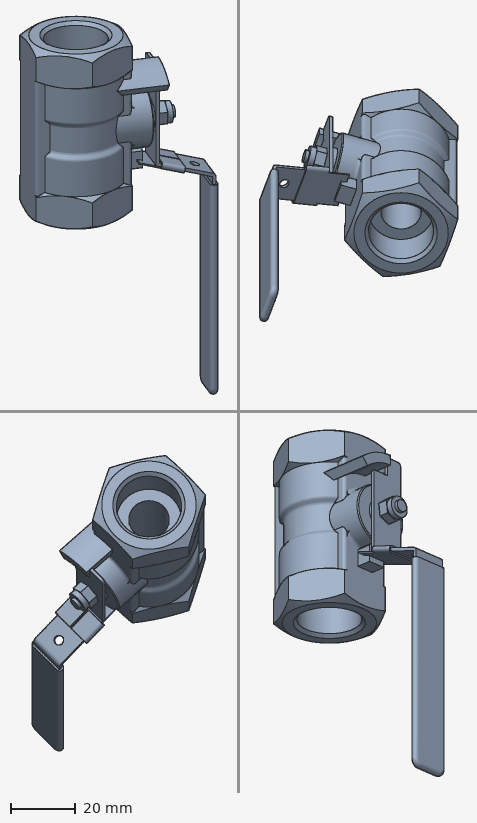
import cadquery as cq
import math


HEX_FLATS = 31.0
HOUSING_LENGTH = 59.0
HEX_END_LENGTH = 11.3
END_FACE_DIA = 29.1
HEX_BEVEL_ANGLE = 30
WAIST_DIA = HEX_FLATS
GROOVE_DIA = 28.3
GROOVE_HALF_WIDTH = 6.1
GROOVE_FLOOR_HALF_WIDTH = 3.6
GROOVE_FILLET = 1.0
FLAT_EDGE_FILLET = 1.1
PORT_DIA = 20.0
PORT_DEPTH = 12.5
PORT_CHAMFER = 1.1
BORE_DIA = 12.5

BONNET_DIA = 20.0
BONNET_TOP = 22.3
BONNET_EDGE_CHAMFER = 0.4
BONNET_ROOT_FILLET = 1.0
STOP_INNER_RADIUS = 15.6
STOP_OUTER_RADIUS = 18.9
STOP_SWEEP = 40
STOP_TOP = 26.5
LOCK_BLOCK_WIDTH = 6.2
LOCK_BLOCK_TOP = 20.5
LOCK_BLOCK_BOTTOM = -16.4
LOCK_BLOCK_CHAMFER = 0.7

LEVER_WIDTH = 11.7
LEVER_THICKNESS = 1.1
PLATE_Y = 24.7
PLATE_TOP = 18.5
PLATE_CORNER_RADIUS = 1.2
PLATE_STEP_Z = 12.5
ARM_START_Z = -14.7
ARM_SLOPE = 18
LEVER_HOLE_DIA = 3.0
LEVER_HOLE_Y = 38.1
BEND_RADIUS = 1.0
GRIP_WIDTH = 13.1
GRIP_THICKNESS = 2.5
GRIP_TOP = -23.7
GRIP_BOTTOM = HOUSING_LENGTH / 2 - 124.5
GRIP_CORNER_RADIUS = 2.7
GRIP_OUTER_Y = 59.6 - HEX_FLATS / 2

LATCH_SHEET = 0.5
LATCH_WIDTH = 14.1
LATCH_START = 1.0
LATCH_END = 8.8
LATCH_SEAM = 0.5
TONGUE_REACH = 6.0

COLLAR_DIA = 10
STEM_DIA = 7.0
TIP_DIA = 4.0
NUT_CORNERS = 8.3
NUT_TURN = 8
NUT_TOP = 28.5
STEM_SHOULDER = 30.4
STEM_TIP = 31.5

HEX_CORNERS = HEX_FLATS / math.cos(math.radians(30))
HALF_LENGTH = HOUSING_LENGTH / 2
WAIST_HALF_LENGTH = HALF_LENGTH - HEX_END_LENGTH
PLATE_INNER_Y = PLATE_Y - LEVER_THICKNESS / 2
PLATE_OUTER_Y = PLATE_Y + LEVER_THICKNESS / 2
GRIP_Y = GRIP_OUTER_Y - GRIP_THICKNESS / 2
ARM_DROP = (GRIP_Y - PLATE_Y) * math.tan(math.radians(ARM_SLOPE))
ARM_END_Z = ARM_START_Z - ARM_DROP


def y_cylinder(diameter, start, end):
    """Cylinder about the stem axis from Y = start to Y = end."""
    return cq.Workplane("XZ", origin=(0, start, 0)).circle(diameter / 2).extrude(start - end)


def hex_end():
    """Upper hexagonal end, bevelled by cones at both of its ends."""
    hexagon = (
        cq.Workplane("XY", origin=(0, 0, WAIST_HALF_LENGTH))
        .polygon(6, HEX_CORNERS)
        .extrude(HEX_END_LENGTH)
    )
    slope = math.tan(math.radians(HEX_BEVEL_ANGLE))
    outer_drop = (HEX_CORNERS - END_FACE_DIA) / 2 * slope
    inner_rise = (HEX_CORNERS - WAIST_DIA) / 2 * slope
    envelope = (
        cq.Workplane("XZ")
        .moveTo(0, WAIST_HALF_LENGTH)
        .lineTo(WAIST_DIA / 2, WAIST_HALF_LENGTH)
        .lineTo(HEX_CORNERS / 2, WAIST_HALF_LENGTH + inner_rise)
        .lineTo(HEX_CORNERS / 2, HALF_LENGTH - outer_drop)
        .lineTo(END_FACE_DIA / 2, HALF_LENGTH)
        .lineTo(0, HALF_LENGTH)
        .close()
        .revolve(360, (0, 0, 0), (0, 1, 0))
    )
    return hexagon.intersect(envelope)


def waist():
    """Round middle with a shallow groove around it."""
    radius = WAIST_DIA / 2
    floor = GROOVE_DIA / 2
    profile = [
        (0, -WAIST_HALF_LENGTH),
        (radius, -WAIST_HALF_LENGTH),
        (radius, -GROOVE_HALF_WIDTH),
        (floor, -GROOVE_FLOOR_HALF_WIDTH - GROOVE_FILLET),
        (floor, GROOVE_FLOOR_HALF_WIDTH + GROOVE_FILLET),
        (radius, GROOVE_HALF_WIDTH),
        (radius, WAIST_HALF_LENGTH),
        (0, WAIST_HALF_LENGTH),
    ]
    round_body = cq.Workplane("XZ").polyline(profile).close().revolve(360, (0, 0, 0), (0, 1, 0))
    groove_zone = cq.selectors.BoxSelector(
        (-radius, -radius, -GROOVE_HALF_WIDTH - 0.1),
        (radius, radius, GROOVE_HALF_WIDTH + 0.1),
    )
    return round_body.edges("%CIRCLE").edges(groove_zone).fillet(GROOVE_FILLET)


def flats_with_bonnet():
    """Slab that joins the hexagon flats, with the bonnet filleted onto its rear face."""
    slab_width = HEX_CORNERS / 2
    slab = (
        cq.Workplane("XY")
        .box(slab_width, HEX_FLATS, 2 * (WAIST_HALF_LENGTH + FLAT_EDGE_FILLET))
        .edges("|Z")
        .fillet(FLAT_EDGE_FILLET)
    )
    bonnet = y_cylinder(BONNET_DIA, 0, BONNET_TOP).faces(">Y").chamfer(BONNET_EDGE_CHAMFER)
    root = HEX_FLATS / 2
    radius = BONNET_DIA / 2
    flare = (
        cq.Workplane("XY")
        .moveTo(0, root)
        .lineTo(radius + BONNET_ROOT_FILLET, root)
        .radiusArc((radius, root + BONNET_ROOT_FILLET), BONNET_ROOT_FILLET)
        .lineTo(0, root + BONNET_ROOT_FILLET)
        .close()
        .revolve(360, (0, 0, 0), (0, 1, 0))
    )
    flat_width = slab_width - 2 * FLAT_EDGE_FILLET
    flare = flare.intersect(cq.Workplane("XY").box(flat_width, 2 * BONNET_TOP, HOUSING_LENGTH))
    return slab.union(bonnet).union(flare)


def lever_stop():
    """Ring sector about the stem axis that limits the swing of the lever."""
    def on_ring(radius, angle):
        turn = math.radians(angle)
        return radius * math.sin(turn), radius * math.cos(turn)

    return (
        cq.Workplane("XZ")
        .moveTo(*on_ring(STOP_INNER_RADIUS, 0))
        .lineTo(*on_ring(STOP_OUTER_RADIUS, 0))
        .threePointArc(on_ring(STOP_OUTER_RADIUS, STOP_SWEEP / 2), on_ring(STOP_OUTER_RADIUS, STOP_SWEEP))
        .lineTo(*on_ring(STOP_INNER_RADIUS, STOP_SWEEP))
        .threePointArc(on_ring(STOP_INNER_RADIUS, STOP_SWEEP / 2), on_ring(STOP_INNER_RADIUS, 0))
        .close()
        .extrude(-STOP_TOP)
    )


def lock_block():
    """Block under the bonnet that the latch straddles."""
    top = -BONNET_DIA / 2
    return (
        cq.Workplane("XZ")
        .center(0, (top + LOCK_BLOCK_BOTTOM) / 2)
        .rect(LOCK_BLOCK_WIDTH, top - LOCK_BLOCK_BOTTOM)
        .extrude(-LOCK_BLOCK_TOP)
        .edges("|Y and >Z")
        .chamfer(LOCK_BLOCK_CHAMFER)
    )


def port():
    """Upper port with a chamfered mouth."""
    mouth = PORT_DIA / 2 + PORT_CHAMFER
    return (
        cq.Workplane("XZ")
        .moveTo(0, HALF_LENGTH)
        .lineTo(mouth, HALF_LENGTH)
        .lineTo(PORT_DIA / 2, HALF_LENGTH - PORT_CHAMFER)
        .lineTo(PORT_DIA / 2, HALF_LENGTH - PORT_DEPTH)
        .lineTo(0, HALF_LENGTH - PORT_DEPTH)
        .close()
        .revolve(360, (0, 0, 0), (0, 1, 0))
    )


def make_housing():
    upper_end = hex_end()
    upper_port = port()
    body = waist().union(flats_with_bonnet())
    body = body.union(upper_end).union(upper_end.mirror("XY"))
    body = body.union(lever_stop()).union(lock_block())
    body = body.cut(upper_port).cut(upper_port.mirror("XY"))
    return body.cut(cq.Workplane("XY").circle(BORE_DIA / 2).extrude(HALF_LENGTH, both=True))


def arm_plane():
    """Plane at the start of the arm: local X along the arm, local Z square to it and upward."""
    slope = math.radians(ARM_SLOPE)
    return cq.Plane(
        origin=(0, PLATE_Y, ARM_START_Z),
        xDir=(0, math.cos(slope), -math.sin(slope)),
        normal=(0, math.sin(slope), math.cos(slope)),
    )


def arm_section_plane(along):
    """Plane across the arm: local X is the part's X, local Y is square to the arm and upward."""
    arm = arm_plane()
    return cq.Plane(origin=arm.toWorldCoords((along, 0, 0)), xDir=(1, 0, 0), normal=-arm.xDir)


def lever_strip():
    """Sheet strip: upright plate, sloping arm, and the short drop into the grip."""
    half = LEVER_THICKNESS / 2
    slope = math.radians(ARM_SLOPE)
    miter = half * (1 - math.sin(slope)) / math.cos(slope)
    outline = [
        (PLATE_Y - half, PLATE_TOP),
        (PLATE_Y + half, PLATE_TOP),
        (PLATE_Y + half, ARM_START_Z + miter),
        (GRIP_Y + half, ARM_END_Z + miter),
        (GRIP_Y + half, GRIP_TOP),
        (GRIP_Y - half, GRIP_TOP),
        (GRIP_Y - half, ARM_END_Z - miter),
        (PLATE_Y - half, ARM_START_Z - miter),
    ]
    strip = cq.Workplane("YZ").polyline(outline).close().extrude(LEVER_WIDTH / 2, both=True)
    outer_bend = cq.selectors.NearestToPointSelector((0, GRIP_Y + half, ARM_END_Z + miter))
    strip = strip.edges("|X").edges(outer_bend).fillet(BEND_RADIUS + half)
    step = cq.Workplane("XY").box(LEVER_WIDTH, 2 * LEVER_THICKNESS, 2 * PLATE_TOP, centered=(False, True, False))
    strip = strip.cut(step.translate((0, PLATE_Y, PLATE_STEP_Z)))
    return strip.edges("|Y and >Z").edges("<X").fillet(PLATE_CORNER_RADIUS)


def grip():
    """Handle blade: a flat core inside a round rim that follows its sides and lower end."""
    radius = GRIP_THICKNESS / 2
    rim_side = GRIP_WIDTH / 2 - radius
    rim_bottom = GRIP_BOTTOM + radius
    rim_corner = GRIP_CORNER_RADIUS - radius
    plane = cq.Workplane("XZ", origin=(0, GRIP_Y, 0))
    rim_path = (
        plane.moveTo(-rim_side, GRIP_TOP)
        .lineTo(-rim_side, rim_bottom + rim_corner)
        .radiusArc((-rim_side + rim_corner, rim_bottom), -rim_corner)
        .lineTo(rim_side - rim_corner, rim_bottom)
        .radiusArc((rim_side, rim_bottom + rim_corner), -rim_corner)
        .lineTo(rim_side, GRIP_TOP)
    )
    rim = (
        cq.Workplane("XY", origin=(-rim_side, GRIP_Y, GRIP_TOP))
        .circle(radius)
        .sweep(rim_path)
    )
    core = (
        cq.Workplane("XY", origin=(0, GRIP_Y, rim_bottom))
        .box(2 * rim_side, GRIP_THICKNESS, GRIP_TOP - rim_bottom, centered=(True, True, False))
        .edges("|Y and <Z")
        .fillet(rim_corner)
    )
    return core.union(rim)


def make_lever():
    hole_along = (LEVER_HOLE_Y - PLATE_Y) / math.cos(math.radians(ARM_SLOPE))
    arm_hole = (
        cq.Workplane(arm_plane())
        .center(hole_along, 0)
        .circle(LEVER_HOLE_DIA / 2)
        .extrude(LEVER_THICKNESS, both=True)
    )
    stem_hole = y_cylinder(STEM_DIA, PLATE_INNER_Y, PLATE_OUTER_Y)
    return lever_strip().union(grip()).cut(arm_hole).cut(stem_hole)


def make_latch():
    """Sheet wrapped round the arm with a seam on top, and a forked tongue below the plate."""
    length = LATCH_END - LATCH_START
    outer_height = LEVER_THICKNESS + 2 * LATCH_SHEET
    inner_width = LATCH_WIDTH - 2 * LATCH_SHEET
    wrap = (
        cq.Workplane(arm_section_plane(LATCH_END))
        .slot2D(LATCH_WIDTH, outer_height)
        .slot2D(inner_width, LEVER_THICKNESS)
        .extrude(length)
    )
    seam = (
        cq.Workplane(arm_section_plane(LATCH_END))
        .center(0, outer_height / 2)
        .rect(LATCH_SEAM, outer_height)
        .extrude(length)
    )
    tongue = (
        cq.Workplane(arm_section_plane(LATCH_START))
        .center(0, -(LEVER_THICKNESS + LATCH_SHEET) / 2)
        .rect(LEVER_WIDTH, LATCH_SHEET)
        .extrude(LATCH_START + TONGUE_REACH)
    )
    return wrap.cut(seam).union(tongue).cut(lock_block())


def make_stem():
    """Stem with its collar below the lever and its nut above, the nut slightly turned."""
    collar = y_cylinder(COLLAR_DIA, BONNET_TOP, PLATE_INNER_Y)
    shank = y_cylinder(STEM_DIA, PLATE_INNER_Y, STEM_SHOULDER)
    tip = y_cylinder(TIP_DIA, STEM_SHOULDER, STEM_TIP)
    nut = (
        cq.Workplane("XZ", origin=(0, PLATE_OUTER_Y, 0))
        .polygon(6, NUT_CORNERS)
        .extrude(PLATE_OUTER_Y - NUT_TOP)
        .rotate((0, 0, 0), (0, 1, 0), 30 + NUT_TURN)
    )
    return collar.union(shank).union(tip).union(nut)


housing = make_housing()
lever = make_lever()
latch = make_latch()
stem = make_stem()

result = cq.Compound.makeCompound([housing.val(), lever.val(), latch.val(), stem.val()])